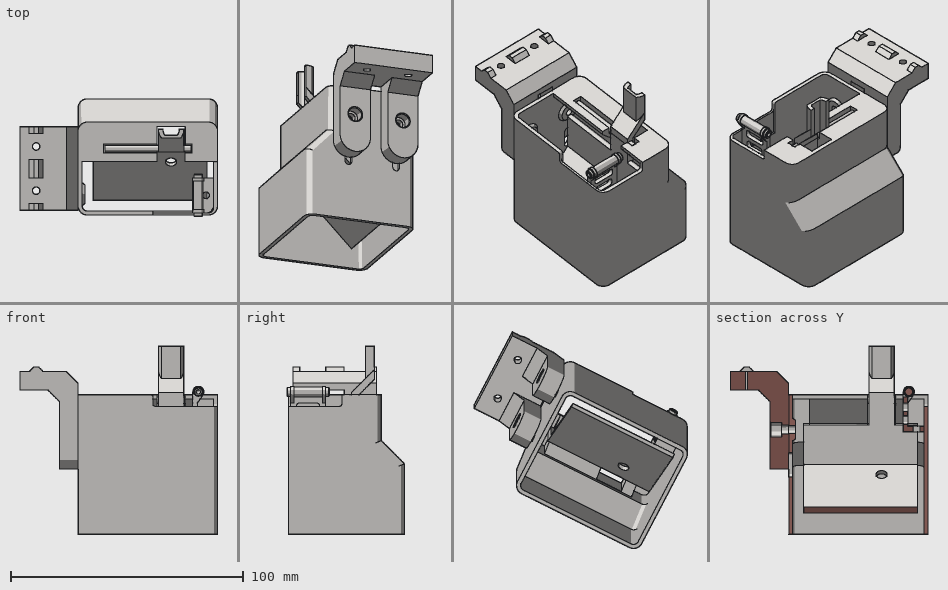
import cadquery as cq
import math

length = 60.0
depth = 50.0
height = 60.0
wall = 1.8
corner_radius = 4.0
roof_rear_y = 40.0
lean_bottom_z = 30.3
lean_top_z = 40.3
roof_front_y = 23.0

rim_cut_x = 32.2
rim_cut_z = 55.0
rim_radius = 1.0

lever_x = 40.0
lever_width = 11.0
lever_thickness = 3.0
lever_front_y = 27.1
rod_diameter = 2.8
rod_length = 37.0
rod_y = lever_front_y + lever_thickness / 2
rod_z = 57.6
rod_slot_length = 38.0
rod_slot_width = 4.0
hinge_block_length = 42.0
lever_notch_width = 12.0
lever_notch_rear_y = 38.0

lever_top_z = 80.9
bend_front_z = 60.9
grip_front_y = 33.1
grip_rear_y = 37.0
grip_web = 1.3
grip_flat_half = 4.1
grip_tip_wall = 2.0
grip_inner_flat_half = 2.7
plate_width = 49.0
plate_x = 31.0
plate_top_z = 47.0
foot_top_z = 30.0
foot_front_y = 6.3
foot_thickness = 2.0
foot_hole_diameter = 4.8
foot_hole_y = 22.8

mount_reach = 25.0
mount_front_y = 2.0
mount_width = 36.0
mount_top_z = 70.0
mount_thickness = 8.0
mount_bevel = 5.0
leg_width = 14.0
leg_bottom_z = 28.0
tooth_x = -18.0
tooth_height = 2.0
tooth_top = 2.0
tooth_end_width = 3.0
tooth_middle_width = 8.0
mount_hole_diameter = 3.1
mount_hole_spacing = 19.0
screw_z = 45.0
screw_recess_diameter = 6.0
screw_recess_depth = 5.0
screw_recess_chamfer = 0.4
screw_clearance_diameter = 3.8
screw_hole_diameter = 3.1
screw_boss_base = 10.0
screw_boss_tip = 8.0
screw_boss_height = 1.2
key_slot_width = 3.1
key_slot_bottom_z = 24.7

bracket_front_y = 1.0
bracket_width = 15.0
bracket_x = 49.3
bracket_plate = 2.0
bracket_bottom_z = 44.0
bracket_floor = 2.5
bracket_plate_top_z = 59.0
recess_corner_radius = 2.0
bracket_corner_radius = 2.8
arm_thickness = 1.4
arm_flare_z = 56.4
eye_diameter = 4.8
eye_z = 61.2
vent_height = 3.5
vent_corner_radius = 1.2
upper_vent_z = 54.6
upper_vent_length = 10.0
lower_vent_z = 49.1
lower_vent_length = 9.0
floor_hole_diameter = 2.8
floor_hole_x = 55.0

roller_diameter = 4.2
pin_diameter = 3.0
pin_length = 18.22
pin_head_diameter = 3.8
pin_head_chamfer = 0.3
pin_centre_diameter = 1.86

mid_x = length / 2
mount_mid_y = mount_front_y + mount_width / 2
leg_ys = [mount_front_y + leg_width / 2, mount_front_y + mount_width - leg_width / 2]
leg_round_z = leg_bottom_z + leg_width / 2
bracket_rear_y = bracket_front_y + bracket_width
bracket_mid_y = bracket_front_y + bracket_width / 2
bracket_end_x = length - wall
eye_x = bracket_x + eye_diameter / 2


def box(x0, x1, y0, y1, z0, z1):
    """Block between the given limits on each axis."""
    return cq.Workplane("XY").box(x1 - x0, y1 - y0, z1 - z0, centered=False).translate((x0, y0, z0))


def cylinder_x(diameter, x0, x1, y, z):
    """Cylinder along X from x0 to x1."""
    return cq.Workplane("YZ", origin=(x0, y, z)).circle(diameter / 2).extrude(x1 - x0)


def cylinder_y(diameter, y0, y1, x, z):
    """Cylinder along Y from y0 to y1."""
    return cq.Workplane("XZ", origin=(x, y0, z)).circle(diameter / 2).extrude(y0 - y1)


def prism_x(outline, x0, x1):
    """Closed outline of (y, z) points extruded along X from x0 to x1."""
    return cq.Workplane("YZ", origin=(x0, 0, 0)).polyline(outline).close().extrude(x1 - x0)


def housing_block(inset):
    """Rounded housing envelope moved inwards by inset, keeping its bottom at z = 0."""
    lean_shift = inset * math.tan(math.pi / 8)
    outline = [
        (inset, 0),
        (depth - inset, 0),
        (depth - inset, lean_bottom_z - lean_shift),
        (roof_rear_y - inset, lean_top_z - lean_shift),
        (roof_rear_y - inset, height - inset),
        (inset, height - inset),
    ]
    block = prism_x(outline, inset, length - inset)
    upright_and_leaning_edges = block.edges("not(#Z)")
    return upright_and_leaning_edges.fillet(corner_radius - inset)


def hinge_block():
    """Solid wedge under the roof that carries the rod slot."""
    rear = roof_rear_y - wall
    under_roof = height - wall
    outline = [
        (roof_front_y, under_roof),
        (rear, under_roof),
        (rear, under_roof - (rear - roof_front_y)),
    ]
    return prism_x(outline, mid_x - hinge_block_length / 2, mid_x + hinge_block_length / 2)


def rod_slot():
    """Slot in the roof, open upwards, with a round bottom about the rod axis."""
    slot_left = mid_x - rod_slot_length / 2
    slot_right = mid_x + rod_slot_length / 2
    slot = box(slot_left, slot_right, rod_y - rod_slot_width / 2, rod_y + rod_slot_width / 2, rod_z, height)
    return slot.union(cylinder_x(rod_slot_width, slot_left, slot_right, rod_y, rod_z))


def rim_cut():
    """Space above the lowered rim: rounded at its lower ends and flared at its upper left end."""
    above = height + rim_radius
    outside = -rim_radius
    cut = box(rim_cut_x, length + rim_radius, outside, roof_front_y, rim_cut_z, above)
    cut = cut.edges("(|Y and <X and <Z) or (|X and >Y and <Z)").fillet(rim_radius)
    flare = box(rim_cut_x - rim_radius, rim_cut_x, outside, roof_front_y, height - rim_radius, above)
    flare = flare.cut(cylinder_y(2 * rim_radius, outside, roof_front_y,
                                 rim_cut_x - rim_radius, height - rim_radius))
    return cut.union(flare)


def bracket_recess():
    """Pocket in the front wall that takes the front of the roller bracket."""
    pocket = box(rim_cut_x, bracket_end_x, bracket_front_y, bracket_rear_y, bracket_bottom_z, height)
    return pocket.edges("|Z and >X and <Y").fillet(recess_corner_radius)


def screw_boss(y):
    """Tapered boss on the inner side of the left wall."""
    return (
        cq.Workplane("YZ", origin=(wall, y, screw_z)).circle(screw_boss_base / 2)
        .workplane(offset=screw_boss_height).circle(screw_boss_tip / 2).loft()
    )


def key_slot(y):
    """Round-ended slot through the left wall, reaching out below a mount leg."""
    slot_length = leg_round_z - key_slot_bottom_z
    slot_mid_z = (leg_round_z + key_slot_bottom_z) / 2
    return (
        cq.Workplane("YZ", origin=(0, y, slot_mid_z))
        .slot2D(slot_length, key_slot_width, 90).extrude(wall)
    )


def make_housing():
    body = housing_block(0).cut(housing_block(wall))
    body = body.union(hinge_block())
    top_opening = box(wall, length - wall, wall, roof_front_y, height - wall, height)
    body = body.cut(top_opening.edges("|Z and <Y").fillet(corner_radius - wall))

    notch_left = lever_x - lever_notch_width / 2
    notch_right = lever_x + lever_notch_width / 2
    body = body.cut(box(notch_left, notch_right, roof_front_y, lever_notch_rear_y, lean_top_z, height))
    body = body.cut(rod_slot())

    body = body.cut(rim_cut()).cut(bracket_recess())
    for y in leg_ys:
        body = body.union(screw_boss(y))
        body = body.cut(cylinder_x(screw_hole_diameter, 0, wall + screw_boss_height, y, screw_z))
        body = body.cut(key_slot(y))
    return body


def tangent_radius(inward, run):
    """Radius of an arc that starts along Y and moves inward over the given run."""
    return (inward ** 2 + run ** 2) / (2 * inward)


def grip_outline():
    """Outer section of the finger grip, curved at both sides."""
    half = lever_width / 2
    side_radius = tangent_radius(half - grip_flat_half, grip_rear_y - grip_front_y)
    return (
        cq.Workplane("XY").moveTo(lever_x - half, grip_rear_y)
        .radiusArc((lever_x - grip_flat_half, grip_front_y), -side_radius)
        .lineTo(lever_x + grip_flat_half, grip_front_y)
        .radiusArc((lever_x + half, grip_rear_y), -side_radius)
        .close()
    )


def finger_hollow():
    """Section of the hollow behind the grip, open to the rear."""
    half = lever_width / 2 - grip_tip_wall
    web_y = grip_front_y + grip_web
    side_radius = tangent_radius(half - grip_inner_flat_half, grip_rear_y - web_y)
    return (
        cq.Workplane("XY").moveTo(lever_x - half, grip_rear_y)
        .radiusArc((lever_x - grip_inner_flat_half, web_y), -side_radius)
        .lineTo(lever_x + grip_inner_flat_half, web_y)
        .radiusArc((lever_x + half, grip_rear_y), -side_radius)
        .close()
    )


def lever_stem():
    """Upright stem with its 45 degree bend, ending at the rear of the grip."""
    stem_rear_y = lever_front_y + lever_thickness
    bend_rear_z = bend_front_z - lever_thickness * math.tan(math.pi / 8)
    bend_run = grip_rear_y - lever_front_y
    outline = [
        (lever_front_y, plate_top_z - lever_thickness),
        (lever_front_y, bend_front_z),
        (grip_rear_y, bend_front_z + bend_run),
        (grip_rear_y, bend_rear_z + grip_rear_y - stem_rear_y),
        (stem_rear_y, bend_rear_z),
        (stem_rear_y, plate_top_z - lever_thickness),
    ]
    return prism_x(outline, lever_x - lever_width / 2, lever_x + lever_width / 2)


def lever_foot(x0, x1):
    """Foot that slopes forward and down at 45 degrees from the plate."""
    foot_run = lever_front_y - foot_front_y
    slant = foot_thickness * math.sqrt(2)
    outline = [
        (lever_front_y, foot_top_z),
        (foot_front_y, foot_top_z - foot_run),
        (foot_front_y + slant / 2, foot_top_z - foot_run - slant / 2),
        (lever_front_y + lever_thickness, foot_top_z + lever_thickness - slant),
        (lever_front_y + lever_thickness, foot_top_z + lever_thickness),
        (lever_front_y, foot_top_z + lever_thickness),
    ]
    return prism_x(outline, x0, x1)


def lever_plate(x0, x1):
    """Upright plate; its top arc starts at 45 degrees in front and runs into the rear face."""
    rear_y = lever_front_y + lever_thickness
    bottom_z = foot_top_z + lever_thickness
    cos_45 = math.sqrt(0.5)
    radius = lever_thickness / (1 + cos_45)
    arc_y = rear_y - radius
    arc_z = plate_top_z - radius * cos_45
    return (
        cq.Workplane("YZ", origin=(x0, 0, 0))
        .moveTo(lever_front_y, bottom_z)
        .lineTo(lever_front_y, plate_top_z)
        .threePointArc((arc_y, arc_z + radius), (rear_y, arc_z))
        .lineTo(rear_y, bottom_z)
        .close().extrude(x1 - x0)
    )


def make_lever():
    plate_left = plate_x - plate_width / 2
    plate_right = plate_x + plate_width / 2
    plate = lever_plate(plate_left, plate_right)

    grip = grip_outline().extrude(lever_top_z - bend_front_z).translate((0, 0, bend_front_z))
    under_bend = prism_x(
        [
            (lever_front_y, bend_front_z),
            (grip_rear_y, bend_front_z + grip_rear_y - lever_front_y),
            (grip_rear_y, bend_front_z),
        ],
        lever_x - lever_width / 2, lever_x + lever_width / 2,
    )
    grip = grip.cut(under_bend)

    body = plate.union(lever_foot(plate_left, plate_right)).union(lever_stem()).union(grip)
    hollow = finger_hollow().extrude(lever_top_z - plate_top_z).translate((0, 0, plate_top_z))
    body = body.cut(hollow)

    foot_hole_z = foot_top_z - (lever_front_y - foot_hole_y)
    hole_plane = cq.Plane(origin=(lever_x, foot_hole_y, foot_hole_z), xDir=(1, 0, 0), normal=(0, 1, -1))
    body = body.cut(cq.Workplane(hole_plane).circle(foot_hole_diameter / 2).extrude(foot_thickness))
    return body.cut(make_rod())


def make_rod():
    """Hinge rod through the lever, lying in the slot of the roof."""
    return cylinder_x(rod_diameter, mid_x - rod_length / 2, mid_x + rod_length / 2, rod_y, rod_z)


def rail_tooth(y0, y1):
    """Ridge on top of the mount with 45 degree flanks."""
    top_half = tooth_top / 2
    base_half = top_half + tooth_height
    return (
        cq.Workplane("XZ", origin=(0, y0, mount_top_z))
        .moveTo(tooth_x - base_half, 0)
        .lineTo(tooth_x - top_half, tooth_height)
        .lineTo(tooth_x + top_half, tooth_height)
        .lineTo(tooth_x + base_half, 0)
        .close().extrude(y0 - y1)
    )


def make_mount():
    mount_rear_y = mount_front_y + mount_width
    shelf_bottom_z = mount_top_z - mount_thickness
    body = (
        cq.Workplane("XZ", origin=(0, mount_front_y, 0))
        .moveTo(-mount_reach, mount_top_z)
        .lineTo(-mount_bevel, mount_top_z)
        .lineTo(0, mount_top_z - mount_bevel)
        .lineTo(0, leg_bottom_z)
        .lineTo(-mount_thickness, leg_bottom_z)
        .lineTo(-mount_thickness, shelf_bottom_z - mount_bevel)
        .lineTo(-mount_thickness - mount_bevel, shelf_bottom_z)
        .lineTo(-mount_reach, shelf_bottom_z)
        .close().extrude(-mount_width)
    )
    body = body.cut(box(-mount_reach, 0, mount_front_y + leg_width, mount_rear_y - leg_width,
                        leg_bottom_z, shelf_bottom_z))
    body = body.cut(box(-mount_thickness, 0, mount_front_y, mount_rear_y, leg_bottom_z, leg_round_z))
    for y in leg_ys:
        body = body.union(cylinder_x(leg_width, -mount_thickness, 0, y, leg_round_z))

    teeth = [
        (mount_front_y, mount_front_y + tooth_end_width),
        (mount_mid_y - tooth_middle_width / 2, mount_mid_y + tooth_middle_width / 2),
        (mount_rear_y - tooth_end_width, mount_rear_y),
    ]
    for y0, y1 in teeth:
        body = body.union(rail_tooth(y0, y1))

    for side in (-1, 1):
        hole_y = mount_mid_y + side * mount_hole_spacing / 2
        hole = cq.Workplane("XY", origin=(tooth_x, hole_y, shelf_bottom_z))
        body = body.cut(hole.circle(mount_hole_diameter / 2).extrude(mount_thickness))
    for y in leg_ys:
        recess = cylinder_x(screw_recess_diameter, -mount_thickness, screw_recess_depth - mount_thickness,
                            y, screw_z)
        mouth = (
            cq.Workplane("YZ", origin=(-mount_thickness, y, screw_z))
            .circle(screw_recess_diameter / 2 + screw_recess_chamfer)
            .workplane(offset=screw_recess_chamfer).circle(screw_recess_diameter / 2).loft()
        )
        body = body.cut(recess).cut(mouth)
        body = body.cut(cylinder_x(screw_clearance_diameter, -mount_thickness, 0, y, screw_z))
    return body


def bracket_arm(y0):
    """Arm that widens upwards into the round eye of the roller pin."""
    eye_radius = eye_diameter / 2
    foot_x = bracket_x + bracket_plate
    rise = eye_z - arm_flare_z
    run = eye_x - foot_x
    reach = math.hypot(run, rise)
    tangent_angle = math.atan2(-rise, -run) + math.acos(eye_radius / reach)
    tangent_x = eye_x + eye_radius * math.cos(tangent_angle)
    tangent_z = eye_z + eye_radius * math.sin(tangent_angle)
    return (
        cq.Workplane("XZ", origin=(0, y0, 0))
        .moveTo(bracket_x, bracket_bottom_z)
        .lineTo(foot_x, bracket_bottom_z)
        .lineTo(foot_x, arm_flare_z)
        .lineTo(tangent_x, tangent_z)
        .threePointArc((eye_x, eye_z + eye_radius), (bracket_x, eye_z))
        .close().extrude(-arm_thickness)
    )


def bracket_vent(slot_length, z):
    """Opening with rounded corners through the upright plate."""
    opening = cq.Workplane("YZ", origin=(bracket_x, bracket_mid_y, z)).rect(slot_length, vent_height)
    return opening.extrude(bracket_plate).edges("|X").fillet(vent_corner_radius)


def make_bracket():
    floor = box(bracket_x, bracket_end_x, bracket_front_y, bracket_rear_y,
                bracket_bottom_z, bracket_bottom_z + bracket_floor)
    floor = floor.edges("|Z and >X and <Y").fillet(bracket_corner_radius)
    upright = box(bracket_x, bracket_x + bracket_plate, bracket_front_y, bracket_rear_y,
                  bracket_bottom_z, bracket_plate_top_z)
    body = floor.union(upright)
    for y0 in (bracket_front_y, bracket_rear_y - arm_thickness):
        body = body.union(bracket_arm(y0))
    body = body.cut(bracket_vent(upper_vent_length, upper_vent_z))
    body = body.cut(bracket_vent(lower_vent_length, lower_vent_z))
    floor_hole = cq.Workplane("XY", origin=(floor_hole_x, bracket_mid_y, bracket_bottom_z))
    body = body.cut(floor_hole.circle(floor_hole_diameter / 2).extrude(bracket_floor))
    return body.cut(cylinder_y(pin_diameter, bracket_front_y, bracket_rear_y, eye_x, eye_z))


def make_roller():
    """Sleeve that fills the gap between the two arms."""
    y0 = bracket_front_y + arm_thickness
    y1 = bracket_rear_y - arm_thickness
    sleeve = cylinder_y(roller_diameter, y0, y1, eye_x, eye_z)
    return sleeve.cut(cylinder_y(pin_diameter, y0, y1, eye_x, eye_z))


def make_pin():
    """Pin with a head outside each arm and a conical centre mark in each end."""
    pin_front = bracket_mid_y - pin_length / 2
    pin_rear = bracket_mid_y + pin_length / 2
    front_head = cylinder_y(pin_head_diameter, pin_front, bracket_front_y, eye_x, eye_z)
    rear_head = cylinder_y(pin_head_diameter, bracket_rear_y, pin_rear, eye_x, eye_z)
    body = cylinder_y(pin_diameter, bracket_front_y, bracket_rear_y, eye_x, eye_z)
    body = body.union(front_head.faces("<Y").chamfer(pin_head_chamfer))
    body = body.union(rear_head.faces(">Y").chamfer(pin_head_chamfer))
    centre_radius = pin_centre_diameter / 2
    for end_y, inward in ((pin_front, 1), (pin_rear, -1)):
        cone = cq.Solid.makeCone(centre_radius, 0, centre_radius,
                                 pnt=cq.Vector(eye_x, end_y, eye_z), dir=cq.Vector(0, inward, 0))
        body = body.cut(cq.Workplane(cone))
    return body


housing = make_housing()
mount = make_mount()
lever = make_lever()
rod = make_rod()
bracket = make_bracket()
roller = make_roller()
pin = make_pin()

result = cq.Compound.makeCompound([
    housing.val(),
    mount.val(),
    lever.val(),
    rod.val(),
    bracket.val(),
    roller.val(),
    pin.val(),
])